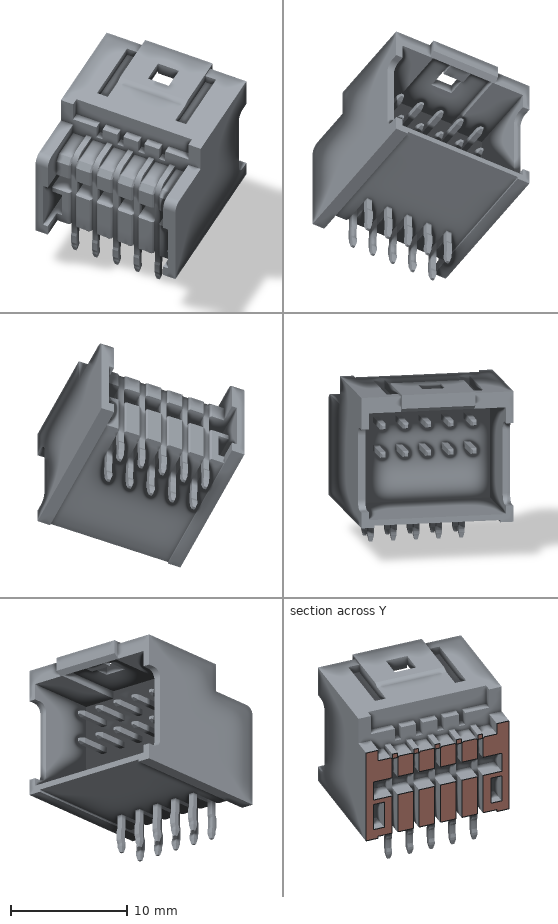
import cadquery as cq


WIDTH = 13.4
DEPTH = 14.0
HEIGHT = 11.5
STEP_DEPTH = 4.99
WING_HEIGHT = 9.0
WING_RADIUS = 0.77
WING_SPACING = 11.05
BASE_RELIEF = 0.2

NOTCH_DEPTH = 1.49
NOTCH_BOTTOM = 1.4
NOTCH_TOP = 8.7
NOTCH_RADIUS = 0.8

CAVITY_WIDTH = 12.1
CAVITY_START = 7.1
CAVITY_BOTTOM = 0.7
CAVITY_TOP = 10.12

LATCH_WIDTH = 6.47
LATCH_RISE = 0.2
LATCH_OVERHANG = 0.49
LATCH_RAMP_START = 9.03
LATCH_RAMP_END = 9.54
LATCH_UNDERSIDE = 10.8
LATCH_POCKET_WIDTH = 5.99
LIP_EDGE = 10.49
RIB_START = 12.43
RIB_BOTTOM = 10.49
SLOT_OUTER_WIDTH = 8.52
SLOT_START = 7.1
SLOT_END = 13.04
SLOT_BOTTOM = 10.75
WINDOW_SIZE = 2.0

RECESS_DEPTH = 0.69
RECESS_BOTTOM = 9.65
WALL_NOTCH_WIDTH = 0.6
WALL_NOTCH_BOTTOM = 8.45

PIN_COUNT = 5
PITCH = 2.0
PIN = 0.5
FRONT_PIN_Y = 2.3
ROW_SPACING = 2.5
FRONT_PIN_TOP = 8.28
PIN_END_Y = 10.56
BEND_RADIUS = 1.05
PIN_DROP = 3.2
TAPER_LENGTH = 0.5
TIP = 0.27
KINK = 0.1
KINK_START = 1.0
KINK_FULL = 1.25
KINK_RETURN = 2.12
KINK_END = 2.45

COMB_FRONT = 1.75
COMB_TOP = 7.94
COMB_CHAMFER = 0.5
EDGE_BEVEL = 0.13
GAP_BOTTOM = 4.04
GAP_TOP = 5.83
POCKET_WIDTH = 11.98
POCKET_BOTTOM = 1.03
TAB_BOTTOM = 3.53
SIDE_RECESS_SPACING = 10.01

ROW_X = [(i - (PIN_COUNT - 1) / 2) * PITCH for i in range(PIN_COUNT)]
BETWEEN_PINS_X = [x + PITCH / 2 for x in ROW_X[:-1]]


def block(width, y0, y1, z0, z1, x=0):
    """Box centred on x, between the given Y and Z limits."""
    return cq.Workplane().box(width, y1 - y0, z1 - z0).translate((x, (y0 + y1) / 2, (z0 + z1) / 2))


def side_prism(points, width):
    """Closed (y, z) outline extruded symmetrically along X."""
    return cq.Workplane("YZ").polyline(points).close().extrude(width / 2, both=True)


def make_shell():
    shell = block(WIDTH, STEP_DEPTH, DEPTH, 0, HEIGHT)
    wings = block(WIDTH, 0, STEP_DEPTH, 0, WING_HEIGHT).edges("|X and <Y and >Z").fillet(WING_RADIUS)
    wings = wings.cut(block(WING_SPACING, 0, STEP_DEPTH, 0, WING_HEIGHT))
    shell = shell.union(wings)
    notch = block(WIDTH, DEPTH - NOTCH_DEPTH, DEPTH, NOTCH_BOTTOM, NOTCH_TOP)
    shell = shell.cut(notch.edges("|X and <Y").fillet(NOTCH_RADIUS))
    return shell.cut(block(CAVITY_WIDTH, CAVITY_START, DEPTH, CAVITY_BOTTOM, CAVITY_TOP))


def cut_front_wall(body):
    recess_back = STEP_DEPTH + RECESS_DEPTH
    body = body.cut(block(WING_SPACING, STEP_DEPTH, recess_back, RECESS_BOTTOM, HEIGHT))
    for x in BETWEEN_PINS_X:
        body = body.cut(
            block(WALL_NOTCH_WIDTH, STEP_DEPTH, recess_back, WALL_NOTCH_BOTTOM, RECESS_BOTTOM, x)
        )
    return body


def add_latch(body):
    body = body.cut(block(LATCH_POCKET_WIDTH, CAVITY_START, DEPTH, CAVITY_TOP, LATCH_UNDERSIDE))
    slot_width = (SLOT_OUTER_WIDTH - LATCH_WIDTH) / 2
    slot_x = (SLOT_OUTER_WIDTH + LATCH_WIDTH) / 4
    for x in (-slot_x, slot_x):
        body = body.cut(block(slot_width, SLOT_START, SLOT_END, SLOT_BOTTOM, HEIGHT, x))

    top = HEIGHT + LATCH_RISE
    back = DEPTH + LATCH_OVERHANG
    latch = side_prism(
        [
            (LATCH_RAMP_START, HEIGHT),
            (LATCH_RAMP_END, top),
            (back, top),
            (back, LIP_EDGE),
            (DEPTH, CAVITY_TOP),
            (DEPTH, LATCH_UNDERSIDE),
            (LATCH_RAMP_START, LATCH_UNDERSIDE),
        ],
        LATCH_WIDTH,
    )
    rib = block(WINDOW_SIZE, RIB_START, DEPTH, RIB_BOTTOM, LATCH_UNDERSIDE)
    window = block(WINDOW_SIZE, RIB_START - WINDOW_SIZE, RIB_START, CAVITY_TOP, top)
    return body.union(latch).union(rib).cut(window)


def comb_finger(left, right):
    """Guide finger between two X positions, bevelled around both side faces."""
    rear = STEP_DEPTH + EDGE_BEVEL
    finger = side_prism(
        [
            (COMB_FRONT, 0),
            (COMB_FRONT, COMB_TOP - COMB_CHAMFER),
            (COMB_FRONT + COMB_CHAMFER, COMB_TOP),
            (rear, COMB_TOP),
            (rear, 0),
        ],
        right - left,
    )
    finger = finger.faces("<X or >X").chamfer(EDGE_BEVEL)
    return finger.translate(((left + right) / 2, 0, 0))


def add_comb(body):
    """Fill the space between the wings with fingers; the pins run in the slots between them."""
    end = WING_SPACING / 2 + EDGE_BEVEL
    lefts = [-end] + [x + PIN / 2 for x in ROW_X]
    rights = [x - PIN / 2 for x in ROW_X] + [end]
    for left, right in zip(lefts, rights):
        body = body.union(comb_finger(left, right))
    return body


def cut_gap_and_pockets(body):
    """Open the gap between upper and lower fingers and the pockets where it runs into the wings."""
    body = body.cut(block(POCKET_WIDTH, 0, STEP_DEPTH, GAP_BOTTOM, GAP_TOP))
    pocket_width = (POCKET_WIDTH - WING_SPACING) / 2
    pocket_x = (POCKET_WIDTH + WING_SPACING) / 4
    recess_width = (POCKET_WIDTH - SIDE_RECESS_SPACING) / 2
    recess_x = (POCKET_WIDTH + SIDE_RECESS_SPACING) / 4
    for side in (-1, 1):
        body = body.cut(block(pocket_width, 0, COMB_FRONT, POCKET_BOTTOM, GAP_BOTTOM, side * pocket_x))
        body = body.cut(block(recess_width, 0, STEP_DEPTH, POCKET_BOTTOM, TAB_BOTTOM, side * recess_x))
    return body


def tapered_tip(plane):
    """Square pin end narrowing along the plane's normal."""
    return plane.rect(PIN, PIN).workplane(offset=TAPER_LENGTH).rect(TIP, TIP).loft()


def make_pin(y, top, kink):
    """Bent pin at X = 0 with its vertical leg at y; kink is the signed Y offset of the leg's kink."""
    front = y - PIN / 2
    back = y + PIN / 2
    arm_end = PIN_END_Y - TAPER_LENGTH
    leg_end = TAPER_LENGTH - PIN_DROP
    inner_radius = BEND_RADIUS - PIN
    bend_y = front + BEND_RADIUS
    bend_z = top - BEND_RADIUS
    diagonal = 0.5**0.5
    outer_mid = (bend_y - BEND_RADIUS * diagonal, bend_z + BEND_RADIUS * diagonal)
    inner_mid = (bend_y - inner_radius * diagonal, bend_z + inner_radius * diagonal)
    pin = (
        cq.Workplane("YZ")
        .moveTo(arm_end, top)
        .lineTo(bend_y, top)
        .threePointArc(outer_mid, (front, bend_z))
        .lineTo(front, -KINK_START)
        .lineTo(front + kink, -KINK_FULL)
        .lineTo(front + kink, -KINK_RETURN)
        .lineTo(front, -KINK_END)
        .lineTo(front, leg_end)
        .lineTo(back, leg_end)
        .lineTo(back, -KINK_END)
        .lineTo(back + kink, -KINK_RETURN)
        .lineTo(back + kink, -KINK_FULL)
        .lineTo(back, -KINK_START)
        .lineTo(back, bend_z)
        .threePointArc(inner_mid, (bend_y, top - PIN))
        .lineTo(arm_end, top - PIN)
        .close()
        .extrude(PIN / 2, both=True)
    )
    pin = pin.union(tapered_tip(cq.Workplane("XY", origin=(0, y, leg_end)).transformed(rotate=(180, 0, 0))))
    arm_plane = cq.Workplane("XZ", origin=(0, arm_end, top - PIN / 2)).transformed(rotate=(180, 0, 0))
    return pin.union(tapered_tip(arm_plane))


result = cut_front_wall(make_shell())
result = add_latch(result)
result = cut_gap_and_pockets(add_comb(result))
result = result.cut(block(WING_SPACING, 0, DEPTH, 0, BASE_RELIEF))

front_pin = make_pin(FRONT_PIN_Y, FRONT_PIN_TOP, -KINK)
rear_pin = make_pin(FRONT_PIN_Y + ROW_SPACING, FRONT_PIN_TOP - ROW_SPACING, KINK)
for pin_x in ROW_X:
    result = result.union(front_pin.translate((pin_x, 0, 0)))
    result = result.union(rear_pin.translate((pin_x, 0, 0)))